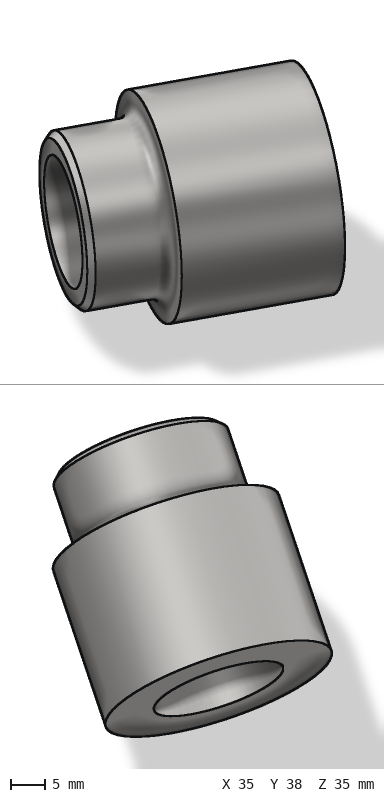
import cadquery as cq

total_length = 38.0
body_diameter = 35.0
body_length = 25.0
spigot_diameter = 27.0
bore_diameter = 20.0
root_fillet = 2.0
tip_chamfer = 1.0

spigot_length = total_length - body_length


def cylinder_along_y(diameter, length, start_y):
    """Solid cylinder running from start_y towards +Y."""
    plane = cq.Workplane("XZ", origin=(0, start_y, 0))
    return plane.circle(diameter / 2).extrude(-length)


body = cylinder_along_y(body_diameter, body_length, 0)
spigot = cylinder_along_y(spigot_diameter, spigot_length, -spigot_length)
spigot = spigot.faces("<Y").chamfer(tip_chamfer)
sleeve = body.union(spigot)

shoulder_root = cq.selectors.BoxSelector(
    (-body_diameter, -tip_chamfer, -body_diameter),
    (body_diameter, tip_chamfer, body_diameter),
    boundingbox=True,
)
sleeve = sleeve.edges(shoulder_root).edges(cq.selectors.RadiusNthSelector(0)).fillet(root_fillet)

bore = cylinder_along_y(bore_diameter, total_length, -spigot_length)
result = sleeve.cut(bore)